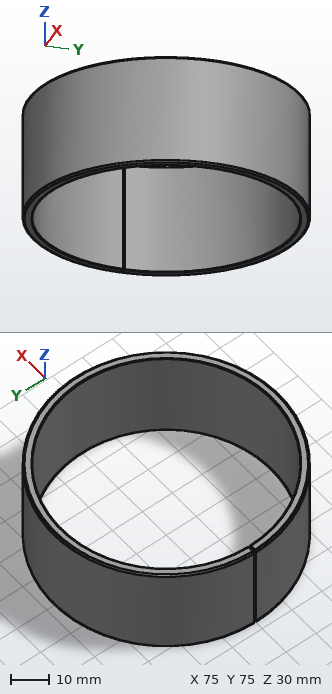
import cadquery as cq

outer_diameter = 75.0
wall_thickness = 2.5
length = 30.0
outer_chamfer = 0.5
inner_chamfer = 0.2
split_angle = 1.0
split_direction = 180.0

outer_radius = outer_diameter / 2
inner_radius = outer_radius - wall_thickness


def wall_section():
    """Radial section of the wall, with both rims chamfered outside and inside."""
    points = [
        (inner_radius, inner_chamfer),
        (inner_radius + inner_chamfer, 0),
        (outer_radius - outer_chamfer, 0),
        (outer_radius, outer_chamfer),
        (outer_radius, length - outer_chamfer),
        (outer_radius - outer_chamfer, length),
        (inner_radius + inner_chamfer, length),
        (inner_radius, length - inner_chamfer),
    ]
    return cq.Workplane("XZ").polyline(points).close()


def split_sleeve():
    """Sweep the wall around Z, stopping short of a full turn to leave the split on the -X side."""
    sleeve = wall_section().revolve(360 - split_angle, (0, 0, 0), (0, 1, 0))
    return sleeve.rotate((0, 0, 0), (0, 0, 1), split_direction)


result = split_sleeve()